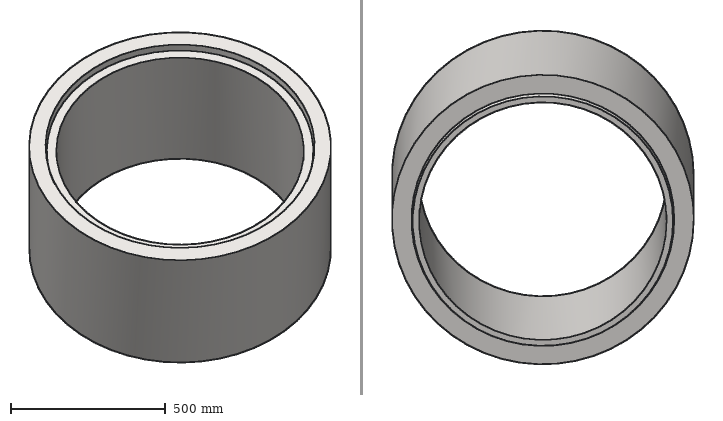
import cadquery as cq

outer_diameter = 976
bore_diameter = 800
total_height = 523

spigot_height = 18
spigot_root_diameter = 850
spigot_tip_diameter = 841

socket_depth = 24
socket_clearance = 10
socket_mouth_diameter = spigot_root_diameter + 2 * socket_clearance
socket_floor_diameter = spigot_tip_diameter + 2 * socket_clearance


def ring_section():
    """Half cross-section in the XZ plane, from the bore out to the outer wall."""
    bore_radius = bore_diameter / 2
    outer_radius = outer_diameter / 2
    socket_floor_z = total_height - socket_depth
    return (
        cq.Workplane("XZ")
        .moveTo(bore_radius, 0)
        .lineTo(spigot_tip_diameter / 2, 0)
        .lineTo(spigot_root_diameter / 2, spigot_height)
        .lineTo(outer_radius, spigot_height)
        .lineTo(outer_radius, total_height)
        .lineTo(socket_mouth_diameter / 2, total_height)
        .lineTo(socket_floor_diameter / 2, socket_floor_z)
        .lineTo(bore_radius, socket_floor_z)
        .close()
    )


result = ring_section().revolve(360, (0, 0, 0), (0, 1, 0))